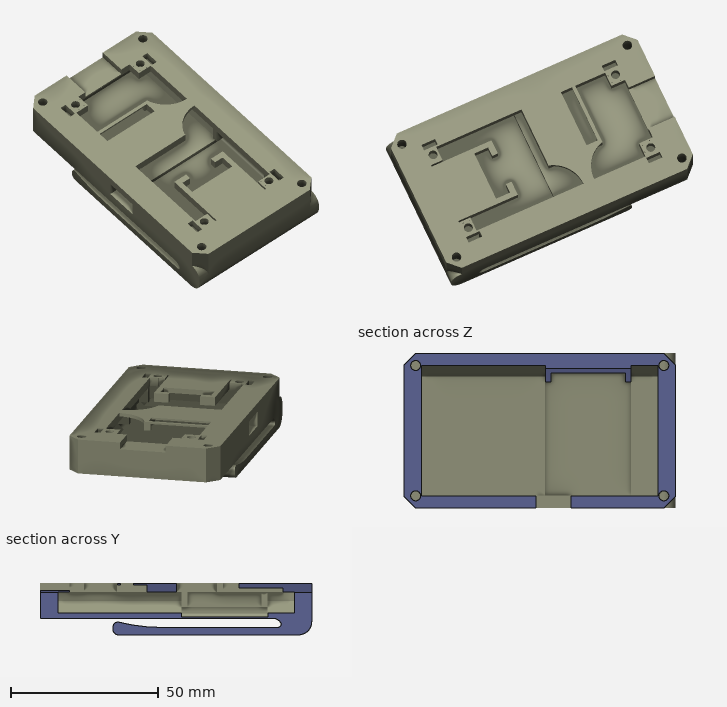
import cadquery as cq
import math

length = 92.0
width = 52.6
total_height = 17.6
corner_chamfer = 4.0
lid_thickness = 3.0
housing_bottom = 5.6
lid_bottom = total_height - lid_thickness

floor_thickness = 2.0
cavity_floor = housing_bottom + floor_thickness
cavity_end = 39.9
cavity_side = 22.1
slope_height = 3.9
middle_start = 1.8
middle_end = 31.0
middle_floor = housing_bottom + 0.55
middle_wall = 21.0
middle_fillet = 1.2

window_left = -1.2
window_right = 10.5
window_sill = 9.5

corner_hole_diameter = 3.2
corner_hole_x = 42.0
corner_hole_y = 22.1

clip_thickness = 2.7
clip_block_top = 10.7
clip_block_left = cavity_end
clip_shoulder_radius = 4.0
clip_heel_radius = 4.6
clip_tip_x = -21.5
clip_tip_height = 4.5
clip_tip_lower_radius = 1.9
clip_tip_upper_radius = 1.8
clip_ramp_end = -4.8
gap_start = 31.8
gap_end = 35.5
gap_end_height = 3.9
gap_lower_radius = gap_end_height - clip_thickness

bracket_bottom = window_sill
bracket_back_face = 19.5
bracket_post_thickness = 2.0

opening_left = -31.1
opening_right = 31.9
opening_side = 16.4
tab_left = -36.2
tab_right = 36.2
tab_inner_side = 11.2
tab_hole_diameter = 3.0
tab_hole_x = 34.0
tab_hole_y = 14.3
slot_length = 5.1
slot_width = 2.1
slot_y = 18.0
pin_hole_diameter = 0.3
left_pin_offsets = [(-0.6, -2.5), (2.2, -1.9), (2.5, 0.6)]
right_pin_offsets = [(-2.1, -1.0), (-1.6, -2.2), (0.9, -2.2)]
lone_pin_y = -15.5

notch_depth = 2.4
notch_width = 15.9
notch_center_y = -0.3

tongue_left = 13.9
tongue_side = 10.7
hook_length = 2.1
hook_tip_side = 5.5
tongue_slot_right = 21.2
tongue_slot_side = 8.8
tongue_plate = 1.75

bridge_left = -20.0
bridge_right = 0.1
bridge_thickness = 1.2
bridge_thin = 0.6
bridge_shoulder_y = 5.7
neck_width = 4.0
neck_curve_radius = 11.3
bridge_bar_width = 1.2
bridge_slot_width = 4.1
bridge_slot_end = 4.4
bridge_leg_end = 3.5


def box(x0, x1, y0, y1, z0, z1):
    """Box between two opposite corners."""
    return cq.Workplane("XY").box(x1 - x0, y1 - y0, z1 - z0, centered=False).translate((x0, y0, z0))


def chamfered_plate(bottom, top):
    """Full-size slab with its four vertical corners chamfered."""
    slab = box(-length / 2, length / 2, -width / 2, width / 2, bottom, top)
    return slab.edges("|Z").chamfer(corner_chamfer)


def drill(points, diameter, bottom):
    """Vertical holes from the top face down to a given height."""
    plane = cq.Workplane("XY").workplane(offset=bottom)
    return plane.pushPoints(points).circle(diameter / 2).extrude(total_height - bottom)


def four_corners(x, y):
    return [(sx * x, sy * y) for sx in (-1, 1) for sy in (-1, 1)]


def end_bay(x0, x1):
    """Bay with a flat floor that rises as a 45 degree bevel along its +Y side."""
    profile = (
        cq.Workplane("YZ").workplane(offset=x0)
        .moveTo(-cavity_side, cavity_floor)
        .lineTo(cavity_side - slope_height, cavity_floor)
        .lineTo(cavity_side, cavity_floor + slope_height)
        .lineTo(cavity_side, lid_bottom)
        .lineTo(-cavity_side, lid_bottom)
        .close()
    )
    return profile.extrude(x1 - x0)


def middle_bay():
    """Deeper bay, rounded along the foot of its +Y wall."""
    bay = box(middle_start, middle_end, -cavity_side, middle_wall, middle_floor, lid_bottom)
    return bay.faces(">Y").edges("<Z").fillet(middle_fillet)


def belt_clip():
    """Spring clip that hangs from the +X end of the housing and runs back below it."""
    right = length / 2
    diagonal = math.sqrt(0.5)
    shoulder_x = right - clip_shoulder_radius
    shoulder_z = clip_block_top - clip_shoulder_radius
    heel_x = right - clip_heel_radius
    tip_lower_x = clip_tip_x + clip_tip_lower_radius
    tip_upper_z = clip_tip_height - clip_tip_upper_radius
    tip_upper_x = clip_tip_x + clip_tip_upper_radius
    gap_lower_x = gap_end - gap_lower_radius
    ramp_middle_x = (tip_upper_x + clip_ramp_end) / 2
    ramp_middle_z = clip_thickness + (clip_tip_height - clip_thickness) / 4
    gap_rise = housing_bottom - gap_end_height
    profile = (
        cq.Workplane("XZ").workplane(offset=-width / 2)
        .moveTo(clip_block_left, clip_block_top)
        .lineTo(shoulder_x, clip_block_top)
        .threePointArc(
            (shoulder_x + clip_shoulder_radius * diagonal, shoulder_z + clip_shoulder_radius * diagonal),
            (right, shoulder_z),
        )
        .lineTo(right, clip_heel_radius)
        .threePointArc(
            (heel_x + clip_heel_radius * diagonal, clip_heel_radius * (1 - diagonal)),
            (heel_x, 0),
        )
        .lineTo(tip_lower_x, 0)
        .threePointArc(
            (tip_lower_x - clip_tip_lower_radius * diagonal, clip_tip_lower_radius * (1 - diagonal)),
            (clip_tip_x, clip_tip_lower_radius),
        )
        .lineTo(clip_tip_x, tip_upper_z)
        .threePointArc(
            (tip_upper_x - clip_tip_upper_radius * diagonal, tip_upper_z + clip_tip_upper_radius * diagonal),
            (tip_upper_x, clip_tip_height),
        )
        .threePointArc((ramp_middle_x, ramp_middle_z), (clip_ramp_end, clip_thickness))
        .lineTo(gap_lower_x, clip_thickness)
        .threePointArc(
            (gap_lower_x + gap_lower_radius * diagonal, gap_end_height - gap_lower_radius * diagonal),
            (gap_end, gap_end_height),
        )
        .threePointArc(
            (gap_start + (gap_end - gap_start) * diagonal, gap_end_height + gap_rise * diagonal),
            (gap_start, housing_bottom),
        )
        .lineTo(clip_block_left, housing_bottom)
        .close()
    )
    return profile.extrude(width)


def make_housing():
    housing = chamfered_plate(housing_bottom, lid_bottom)
    housing = housing.cut(end_bay(-cavity_end, middle_start))
    housing = housing.cut(end_bay(middle_end, cavity_end))
    housing = housing.cut(middle_bay())
    housing = housing.cut(
        box(window_left, window_right, -width / 2, -cavity_side, window_sill, lid_bottom)
    )
    screws = four_corners(corner_hole_x, corner_hole_y)
    housing = housing.cut(drill(screws, corner_hole_diameter, cavity_floor))
    return housing.union(belt_clip())


def tongue():
    """Plate with two hooks around a T-shaped slot, reaching into the opening from +X."""
    plate = box(tongue_left, opening_right, -tongue_side, tongue_side, lid_bottom, total_height)
    hook_right = tongue_left + hook_length
    mouth = box(tongue_left, hook_right, -hook_tip_side, hook_tip_side, lid_bottom, total_height)
    slot = box(
        hook_right, tongue_slot_right, -tongue_slot_side, tongue_slot_side, lid_bottom, total_height
    )
    return plate.cut(mouth).cut(slot)


def bridge():
    """Bar across the opening, with a thin neck at +Y and a slotted, hollowed -X half."""
    center_x = (bridge_left + bridge_right) / 2
    neck_left = center_x - neck_width / 2
    neck_right = center_x + neck_width / 2
    half_angle = math.asin((opening_side - bridge_shoulder_y) / neck_curve_radius) / 2
    arc_run = neck_curve_radius * (1 - math.cos(half_angle))
    arc_middle_y = opening_side - neck_curve_radius * math.sin(half_angle)
    shoulder_run = neck_curve_radius * (1 - math.cos(2 * half_angle))
    plate = (
        cq.Workplane("XY").workplane(offset=total_height - bridge_thickness)
        .moveTo(bridge_left, -opening_side)
        .lineTo(bridge_right, -opening_side)
        .lineTo(bridge_right, bridge_shoulder_y)
        .lineTo(neck_right + shoulder_run, bridge_shoulder_y)
        .threePointArc((neck_right + arc_run, arc_middle_y), (neck_right, opening_side))
        .lineTo(neck_left, opening_side)
        .threePointArc((neck_left - arc_run, arc_middle_y), (neck_left - shoulder_run, bridge_shoulder_y))
        .lineTo(bridge_left, bridge_shoulder_y)
        .close()
        .extrude(bridge_thickness)
    )
    slot_left = bridge_left + bridge_bar_width
    slot_right = slot_left + bridge_slot_width
    thin_bottom = total_height - bridge_thin
    body = box(bridge_left, bridge_right, -opening_side, bridge_shoulder_y, lid_bottom, total_height)
    hollow = box(slot_left, center_x, -opening_side, bridge_slot_end, lid_bottom, thin_bottom)
    side_gap = box(bridge_left, slot_left, -opening_side, bridge_leg_end, lid_bottom, thin_bottom)
    slot = box(slot_left, slot_right, -opening_side, bridge_slot_end, lid_bottom, total_height)
    return plate.union(body).cut(hollow).cut(side_gap).cut(slot)


def bracket():
    """Two posts joined by a recessed back wall, hanging below the lid."""
    block = box(middle_start, middle_end, opening_side, middle_wall, bracket_bottom, lid_bottom)
    recess = box(
        middle_start + bracket_post_thickness, middle_end - bracket_post_thickness,
        opening_side, bracket_back_face, bracket_bottom, lid_bottom,
    )
    return block.cut(recess)


def make_lid():
    lid = chamfered_plate(lid_bottom, total_height)

    lid = lid.cut(
        box(opening_left, opening_right, -opening_side, opening_side, lid_bottom, total_height)
    )
    lid = lid.cut(
        box(tab_left, opening_left, -tab_inner_side, tab_inner_side, lid_bottom, total_height)
    )
    for low, high in ((tongue_side, tab_inner_side), (-tab_inner_side, -tongue_side)):
        lid = lid.cut(box(opening_right, tab_right, low, high, lid_bottom, total_height))

    lid = lid.union(tongue())
    lid = lid.union(bridge())
    lid = lid.union(bracket())

    lid = lid.cut(
        box(
            tongue_slot_right, tab_right, -tongue_slot_side, tongue_slot_side,
            lid_bottom, total_height - tongue_plate,
        )
    )

    lid = lid.cut(
        box(
            -length / 2, tab_left, notch_center_y - notch_width / 2, notch_center_y + notch_width / 2,
            total_height - notch_depth, total_height,
        )
    )

    lid = lid.cut(drill(four_corners(corner_hole_x, corner_hole_y), corner_hole_diameter, lid_bottom))
    lid = lid.cut(drill(four_corners(tab_hole_x, tab_hole_y), tab_hole_diameter, lid_bottom))
    slot_x = tab_right - slot_length / 2
    slots = (
        cq.Workplane("XY").workplane(offset=lid_bottom)
        .pushPoints(four_corners(slot_x, slot_y))
        .rect(slot_length, slot_width)
        .extrude(lid_thickness)
    )
    lid = lid.cut(slots)

    pins = [(-tab_hole_x + dx, side * (tab_hole_y + dy)) for dx, dy in left_pin_offsets for side in (-1, 1)]
    pins += [(tab_hole_x + dx, tab_hole_y + dy) for dx, dy in right_pin_offsets]
    pins.append((opening_right, lone_pin_y))
    return lid.cut(drill(pins, pin_hole_diameter, lid_bottom))


housing = make_housing()
lid = make_lid()
result = cq.Compound.makeCompound([housing.val(), lid.val()])